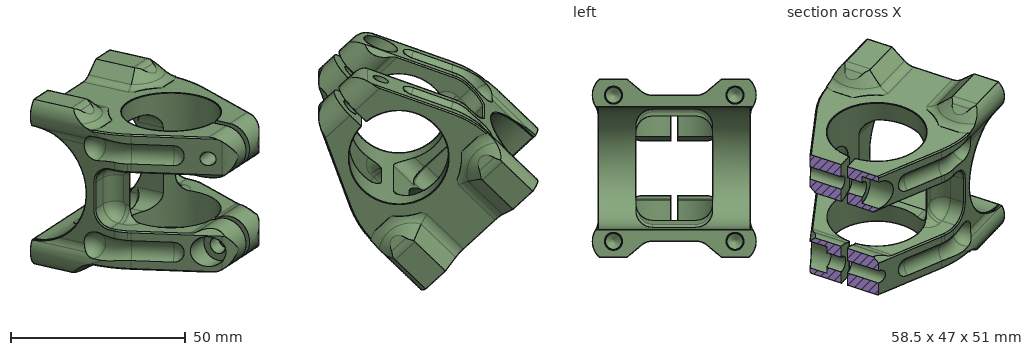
import cadquery as cq
import math


length = 58.5
half_width = 47.0 / 2
half_height = 51.0 / 2
beyond = 8.8

bar_radius = 17.5
bar_chamfer = 0.25
steerer_x = 33.0
steerer_radius = 14.3
steerer_chamfer = 0.2
spacer_radius = 18.0
split_width = 2.0

eye_radius = 6.55
eye_x = length - eye_radius
eye_z = 14.4
eye_blend = 3.5
arm_top = eye_z + eye_radius
arm_bottom = 9.05
gap_wall_x = 26.85
gap_corner = 4.25

taper = math.radians(25)
shoulder_x = 19.2
shoulder_radius = 30.0
tip_corner = 5.0
edge_chamfer = 0.4
line_start_x = shoulder_x + shoulder_radius * math.sin(taper)
line_start_y = half_width - shoulder_radius * (1 - math.cos(taper))

web_half = 21.9
web_blend = 9.95

screw_z = arm_top
boss_radius = 6.1
screw_y = half_width - boss_radius
boss_blend = 4.25
boss_flat_y = 13.5
flank = math.radians(40)
floor_blend = 4.7
foot_z = arm_top + floor_blend * (1 - math.cos(flank))
cone_x = 9.65
cone_y = 17.6
cone_top_radius = 5.25
ramp = math.radians(30)
ramp_start = 12.5
ramp_blend = 4.85
screw_hole_radius = 2.3
screw_hole_chamfer = 0.3
screw_hole_depth = 12.85
drill_half_angle = math.radians(59)

pocket_half_y = 11.0
pocket_corner = 4.8
pocket_half_z = 16.9
pocket_end_x = 16.15
pocket_end_blend = 0.8
inner_pocket_half_z = 14.9

recess_x = 20.6
recess_floor_y = 13.0
recess_corner = 5.0

groove_z = 15.0
groove_radius = 4.0
groove_depth = 1.45
groove_end_x = 44.0
groove_bend_radius = 14.05
groove_bend = math.radians(51)

bolt_hole_radius = 2.1
bolt_clearance_radius = 2.5
bolt_head_radius = 4.6
bolt_head_y = 5.85


def box(x0, x1, y0, y1, z0, z1):
    return cq.Workplane("XY").box(x1 - x0, y1 - y0, z1 - z0, centered=False).translate((x0, y0, z0))


def with_mirror(solid, plane):
    """The solid together with its mirror image."""
    return solid.union(solid.mirror(plane))


def plan_prism(end_x, z0, z1, start_x=0.0):
    """Plan outline with tapered sides, ending in a straight edge at end_x."""
    end_y = line_start_y - (end_x - line_start_x) * math.tan(taper)
    mid_x = shoulder_x + shoulder_radius * math.sin(taper / 2)
    mid_y = half_width - shoulder_radius * (1 - math.cos(taper / 2))
    return (
        cq.Workplane("XY").workplane(offset=z0)
        .moveTo(start_x, -half_width)
        .lineTo(shoulder_x, -half_width)
        .threePointArc((mid_x, -mid_y), (line_start_x, -line_start_y))
        .lineTo(end_x, -end_y)
        .lineTo(end_x, end_y)
        .lineTo(line_start_x, line_start_y)
        .threePointArc((mid_x, mid_y), (shoulder_x, half_width))
        .lineTo(start_x, half_width)
        .close()
        .extrude(z1 - z0)
    )


def web_prism(end_x, z0, z1, start_x=0.0):
    """Plan outline narrowed to the web width, with the corner to the shoulder rounded."""
    drop = half_width - web_half
    corner_x = shoulder_x + math.sqrt(shoulder_radius**2 - (shoulder_radius - drop) ** 2)
    margin = 0.6
    prism = plan_prism(end_x, z0, z1, start_x)
    prism = prism.intersect(box(start_x, end_x, -web_half, web_half, z0, z1))
    corner = cq.selectors.BoxSelector(
        (corner_x - margin, -half_width, z0 - margin), (corner_x + margin, half_width, z1 + margin)
    )
    return prism.edges("|Z").edges(corner).fillet(web_blend)


def side_profile():
    """Side shape without bosses: two arms with round eyes around an open gap."""
    blend_center_z = arm_bottom - eye_blend
    reach = eye_radius + eye_blend
    blend_angle = math.asin((eye_z - blend_center_z) / reach)
    blend_x = eye_x - reach * math.cos(blend_angle)
    tangent_x = eye_x - eye_radius * math.cos(blend_angle)
    tangent_z = eye_z - eye_radius * math.sin(blend_angle)
    half_turn = (math.pi / 2 + blend_angle) / 2
    blend_mid = (blend_x + eye_blend * math.cos(half_turn), blend_center_z + eye_blend * math.sin(half_turn))
    corner_x = gap_wall_x + gap_corner
    corner_z = arm_bottom - gap_corner
    corner_mid = gap_corner * math.sqrt(0.5)
    upper = (
        cq.Workplane("XZ")
        .moveTo(0, 0)
        .lineTo(0, arm_top)
        .lineTo(eye_x, arm_top)
        .threePointArc((length, eye_z), (tangent_x, tangent_z))
        .threePointArc(blend_mid, (blend_x, arm_bottom))
        .lineTo(corner_x, arm_bottom)
        .threePointArc((corner_x - corner_mid, corner_z + corner_mid), (gap_wall_x, corner_z))
        .lineTo(gap_wall_x, 0)
        .close()
        .extrude(half_width, both=True)
    )
    return with_mirror(upper, "XY")


def end_profile():
    """Section of the bar clamp normal to X, with the four screw bosses."""
    reach = boss_radius + boss_blend
    blend_y = web_half + boss_blend
    angle = math.acos((blend_y - screw_y) / reach)
    blend_z = screw_z - reach * math.sin(angle)
    flat_end_y = screw_y + math.sqrt(boss_radius**2 - (half_height - screw_z) ** 2)
    tangent_y = screw_y + boss_radius * math.cos(angle)
    tangent_z = screw_z - boss_radius * math.sin(angle)
    foot_y = boss_flat_y - (half_height - foot_z) / math.tan(flank)
    floor_y = foot_y - floor_blend * math.sin(flank)
    quarter = (
        cq.Workplane("YZ")
        .moveTo(0, 0)
        .lineTo(web_half, 0)
        .lineTo(web_half, blend_z)
        .threePointArc(
            (blend_y - boss_blend * math.cos(angle / 2), blend_z + boss_blend * math.sin(angle / 2)),
            (tangent_y, tangent_z),
        )
        .threePointArc((screw_y + boss_radius, screw_z), (flat_end_y, half_height))
        .lineTo(boss_flat_y, half_height)
        .lineTo(foot_y, foot_z)
        .threePointArc(
            (floor_y + floor_blend * math.sin(flank / 2), arm_top + floor_blend * (1 - math.cos(flank / 2))),
            (floor_y, arm_top),
        )
        .lineTo(0, arm_top)
        .close()
        .extrude(length)
    )
    return with_mirror(with_mirror(quarter, "XZ"), "XY")


def boss_limit():
    """Bounds of the bosses along X: a ramped top and a conical end, blended into the arm face."""
    base = arm_top - floor_blend
    foot_r = cone_top_radius + (half_height - foot_z) / math.tan(flank)
    floor_r = foot_r + floor_blend * math.sin(flank)
    cone = (
        cq.Workplane("XZ")
        .moveTo(0, base)
        .lineTo(floor_r, base)
        .lineTo(floor_r, arm_top)
        .threePointArc(
            (floor_r - floor_blend * math.sin(flank / 2), arm_top + floor_blend * (1 - math.cos(flank / 2))),
            (foot_r, foot_z),
        )
        .lineTo(cone_top_radius, half_height)
        .lineTo(0, half_height)
        .close()
        .revolve(360, (0, 0, 0), (0, 1, 0))
        .translate((cone_x, cone_y, 0))
    )
    cone = cone.union(box(0, cone_x, cone_y - floor_r, cone_y + floor_r, base, half_height))

    ramp_x = ramp_start + ramp_blend * math.sin(ramp)
    ramp_z = half_height - ramp_blend * (1 - math.cos(ramp))
    ramp_mid = (
        ramp_start + ramp_blend * math.sin(ramp / 2),
        half_height - ramp_blend * (1 - math.cos(ramp / 2)),
    )
    top = (
        cq.Workplane("XZ")
        .moveTo(0, base)
        .lineTo(0, half_height)
        .lineTo(ramp_start, half_height)
        .threePointArc(ramp_mid, (ramp_x, ramp_z))
        .lineTo(ramp_x + (ramp_z - base) / math.tan(ramp), base)
        .close()
        .extrude(2 * half_width, both=True)
    )
    one = cone.intersect(top)
    return with_mirror(with_mirror(one, "XZ"), "XY")


def blank():
    """Body with bosses and arms, before the bores and pockets."""
    far_x = length + beyond
    chamfered = plan_prism(far_x, -arm_top, arm_top, -beyond)
    chamfered = chamfered.faces("|Z").edges("not |Y").chamfer(edge_chamfer)
    arms = side_profile().intersect(chamfered)

    plan = plan_prism(length, -half_height, half_height).edges("|Z and >X").fillet(tip_corner)
    spacer_seat = cq.Workplane("XY").circle(spacer_radius).extrude(half_height)
    spacer_seat = spacer_seat.translate((steerer_x, 0, arm_top))
    bosses = boss_limit().cut(with_mirror(spacer_seat, "XY"))
    body = arms.union(bosses).intersect(end_profile()).intersect(plan)

    low = web_prism(far_x, -groove_z, groove_z)
    middle = box(0, far_x, -half_width, half_width, -groove_z, groove_z)
    return body.cut(middle.cut(low))


def arm_edge_cutter():
    """45 degree chamfer along the gap-side edges of the arms, also cutting across the eyes."""
    edge_z = arm_bottom + edge_chamfer
    height = edge_z - (eye_z - eye_radius) + edge_chamfer
    low_z = edge_z - height
    envelope = web_prism(length + beyond, low_z, arm_top, -beyond)
    envelope = envelope.faces("<Z").edges("not |Y").chamfer(height)
    region = box(gap_wall_x, length, -half_width, half_width, low_z, edge_z)
    return with_mirror(region.cut(envelope), "XY")


def bar_cutter():
    """Half-round bar seat with small bevels at the clamp face and both sides."""
    bore = cq.Workplane("XZ").circle(bar_radius).extrude(half_width, both=True)
    outer = bar_radius + bar_chamfer
    side_bevel = (
        cq.Workplane("XZ", origin=(0, -web_half, 0))
        .circle(outer)
        .workplane(offset=-bar_chamfer)
        .circle(bar_radius)
        .loft()
    )
    side_rest = cq.Workplane("XZ", origin=(0, -web_half, 0)).circle(outer).extrude(half_width - web_half)
    face_bevel = (
        cq.Workplane("XZ")
        .polyline([(0, -outer), (bar_chamfer, -bar_radius), (bar_chamfer, bar_radius), (0, outer)])
        .close()
        .extrude(half_width, both=True)
    )
    return bore.union(with_mirror(side_bevel.union(side_rest), "XZ")).union(face_bevel)


def bar_pocket_cutter():
    """Stepped pocket from the bar seat into the steerer bore."""
    outer = box(0, pocket_end_x, -pocket_half_y, pocket_half_y, -pocket_half_z, pocket_half_z)
    outer = outer.edges("|X").fillet(pocket_corner).faces(">X").edges().fillet(pocket_end_blend)
    inner = box(0, steerer_x, -pocket_half_y, pocket_half_y, -inner_pocket_half_z, inner_pocket_half_z)
    return outer.union(inner.edges("|X").fillet(pocket_corner))


def steerer_cutter():
    """Steerer bore with bevelled ends, and the split that lets the arms pinch it."""
    bore = cq.Workplane("XY").circle(steerer_radius).extrude(2 * arm_top)
    bore = bore.translate((steerer_x, 0, -arm_top))
    bevel = (
        cq.Workplane("XY")
        .circle(steerer_radius)
        .workplane(offset=steerer_chamfer)
        .circle(steerer_radius + steerer_chamfer)
        .loft()
        .translate((steerer_x, 0, arm_top - steerer_chamfer))
    )
    split = box(steerer_x, length, -split_width / 2, split_width / 2, -arm_top, arm_top)
    return bore.union(with_mirror(bevel, "XY")).union(split)


def gap_corner_cutter():
    """Clears the gap outside the web corner, leaving the gap blend swept round that corner."""
    blend_z = arm_bottom - gap_corner
    diagonal = gap_corner * math.sqrt(0.5)
    end_x = gap_wall_x + gap_corner
    room = box(gap_wall_x, end_x, -half_width, -recess_floor_y, -arm_bottom, arm_bottom)
    collar = (
        cq.Workplane("XZ")
        .moveTo(0, blend_z)
        .threePointArc((gap_corner - diagonal, blend_z + diagonal), (gap_corner, arm_bottom))
        .lineTo(0, arm_bottom)
        .close()
        .revolve(360, (0, 0, 0), (0, 1, 0))
        .translate((gap_wall_x, -recess_floor_y, 0))
    )
    return with_mirror(room.cut(with_mirror(collar, "XY")), "XZ")


def recess_cutter():
    """Round-bottomed recess in each side of the web, running out into the gap."""
    far_x = length + beyond
    recess = box(recess_x, far_x, -half_width, -recess_floor_y, -arm_bottom, arm_bottom)
    recess = recess.edges("|Y and <X").fillet(recess_corner).faces(">Y").edges().fillet(gap_corner)
    web_zone = box(recess_x, gap_wall_x, -half_width, -recess_floor_y, -arm_bottom, arm_bottom)
    return with_mirror(recess.intersect(web_zone), "XZ")


def recess_rim_cutter():
    """Chamfer round the mouth of each recess."""
    rim_z = arm_bottom + edge_chamfer
    rim_y = web_half - edge_chamfer
    rim = box(recess_x - edge_chamfer, length, -half_width, -rim_y, -rim_z, rim_z)
    rim = rim.edges("|Y and <X").fillet(recess_corner + edge_chamfer)
    rim = rim.faces(">Y").edges().chamfer(edge_chamfer)
    return with_mirror(rim, "XZ")


def groove_cutter():
    """Round-nosed groove: straight along the tapered side, then bent back into the web."""
    sin_t = math.sin(taper)
    cos_t = math.cos(taper)
    lift = groove_radius - groove_depth
    bend_x = line_start_x + lift * sin_t
    bend_y = -(line_start_y + lift * cos_t)
    run = (groove_end_x - bend_x) / cos_t
    end = (groove_end_x, bend_y + run * sin_t, 0)
    center = (bend_x - groove_bend_radius * sin_t, bend_y + groove_bend_radius * cos_t, 0)
    stop = groove_bend - taper
    start = (
        center[0] - groove_bend_radius * math.sin(stop),
        center[1] - groove_bend_radius * math.cos(stop),
        0,
    )
    straight = cq.Workplane(
        cq.Plane(origin=(bend_x, bend_y, 0), xDir=(0, 0, 1), normal=(cos_t, sin_t, 0))
    ).circle(groove_radius).extrude(run)
    bend = (
        cq.Workplane(cq.Plane(origin=center, xDir=(sin_t, -cos_t, 0), normal=(-cos_t, -sin_t, 0)))
        .center(groove_bend_radius, 0)
        .circle(groove_radius)
        .revolve(math.degrees(groove_bend), (-groove_bend_radius, 0, 0), (-groove_bend_radius, -1, 0))
    )
    nose = cq.Workplane("XZ").sphere(groove_radius)
    one = straight.union(bend).union(nose.translate(end)).union(nose.translate(start))
    one = one.translate((0, 0, groove_z))
    return with_mirror(with_mirror(one, "XZ"), "XY")


def screw_hole_cutter():
    """Blind drilled holes with a small entry chamfer."""
    tip = screw_hole_depth + screw_hole_radius / math.tan(drill_half_angle)
    entry_radius = screw_hole_radius + screw_hole_chamfer
    hole = (
        cq.Workplane("XZ")
        .polyline([
            (0, 0),
            (0, entry_radius),
            (screw_hole_chamfer, screw_hole_radius),
            (screw_hole_depth, screw_hole_radius),
            (tip, 0),
        ])
        .close()
        .revolve(360, (0, 0, 0), (1, 0, 0))
        .translate((0, screw_y, screw_z))
    )
    return with_mirror(with_mirror(hole, "XZ"), "XY")


def pinch_bolt_cutter():
    """Opposed bolts: the lower head sits on the -Y side, the upper head on the +Y side."""

    def along_y(radius, y0, y1):
        return cq.Workplane("XZ", origin=(eye_x, y0, -eye_z)).circle(radius).extrude(y0 - y1)

    lower = along_y(bolt_hole_radius, -half_width, half_width)
    lower = lower.union(along_y(bolt_clearance_radius, -half_width, 0))
    lower = lower.union(along_y(bolt_head_radius, -half_width, -bolt_head_y))
    upper = lower.rotate((0, 0, 0), (1, 0, 0), 180)
    return lower.union(upper)


result = blank()
cutters = [
    arm_edge_cutter(),
    bar_cutter(),
    bar_pocket_cutter(),
    steerer_cutter(),
    recess_cutter(),
    gap_corner_cutter(),
    recess_rim_cutter(),
    groove_cutter(),
    screw_hole_cutter(),
    pinch_bolt_cutter(),
]
for cutter in cutters:
    result = result.cut(cutter)